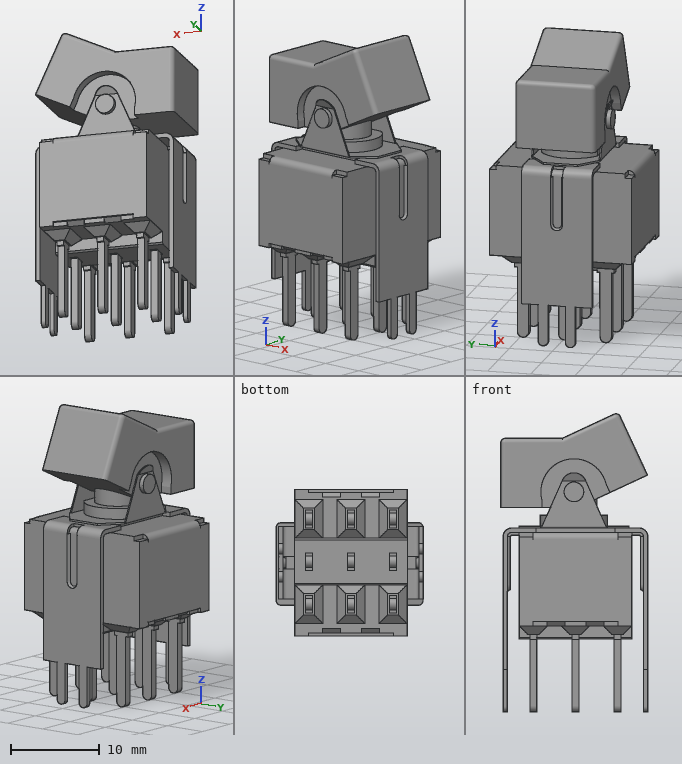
import cadquery as cq
import math

total_height = 33.57
lever_x = -0.17
rocker_y = 0.15

body_length = 12.7
body_width = 16.5
body_bottom = 9.67
body_top = 20.2
corner_strip = 1.58
top_round = 0.77
strip_drop = 0.5
lip_height = 0.5
lip_depth = 0.35
lip_slope_depth = 0.5
lip_gap_width = 2.0
lip_gap_x = 2.18

base_width = 5.3
base_height = 1.48
base_chamfer = 0.2
pin_pitch_x = 4.75
pin_pitch_y = 4.8
pin_row_y = -0.15
pin_thickness = 0.8
pin_width = 1.3
seat_length = 3.15
seat_width = 4.35
seat_height = 0.97
shoulder_width = 1.98
shoulder_drop = 1.5

bracket_length = 16.3
bracket_width = 8.2
sheet = 0.5
bracket_top = body_top + sheet
bend_radius = 0.97
leg_bottom = 4.77
tab_width = 1.15
tab_y = 1.58
notch_length = 8.93
notch_depth = 1.07
groove_width = 1.38
groove_floor_width = 0.97
groove_depth = 0.35
groove_bottom = 13.55
groove_top_x = 6.88

plate_length = 12.42
plate_thickness = 0.2
plate_top = bracket_top + plate_thickness
ear_span = 8.0
ear_sheet = 0.17
ear_bend = 0.17
plate_corner_x = 2.52
plate_corner_y = 2.0
ear_base = 7.2
ear_neck = 2.7
ear_neck_z = 25.98
ear_tip_rise = 0.95
ear_tip_flare = 0.47

collar_diameter = 7.62
collar_width = 6.5
collar_top = 22.15
stem_diameter = 5.2
pivot_z = 24.77
pivot_diameter = 2.2
pivot_length = 9.05

rocker_width = 9.3
rocker_bend = 25.0
rocker_round = 0.55
arm_left = -8.43
arm_top = 30.82
arm_bottom = 23.0
crook_x = -1.48
pocket_radius = 3.73
pocket_skirt = 3.6
pocket_core = 6.85


def block(length, width, bottom, top, x=0, y=0):
    """Upright box centred on (x, y) between two heights."""
    box = cq.Workplane("XY").box(length, width, top - bottom, centered=(True, True, False))
    return box.translate((x, y, bottom))


def extrude_y(profile, width):
    """Extrude an XZ profile symmetrically about Y = 0."""
    return profile.extrude(width / 2, both=True)


def rounded_blade(x, y, thickness, width, top):
    """Flat pin standing on Z = 0 with a half-round tip."""
    radius = width / 2
    return (
        cq.Workplane("YZ")
        .moveTo(y - radius, top)
        .lineTo(y - radius, radius)
        .threePointArc((y, 0), (y + radius, radius))
        .lineTo(y + radius, top)
        .close()
        .extrude(thickness / 2, both=True)
        .translate((x, 0, 0))
    )


def make_body():
    body = block(body_length, body_width, body_bottom, body_top)
    body = body.edges("|X and >Z").fillet(top_round)

    strip_x = (body_length - corner_strip) / 2
    for side in (-1, 1):
        for end in (-1, 1):
            x = end * strip_x
            strip_y = side * (body_width - top_round) / 2
            strip_top = body_top - strip_drop
            body = body.cut(block(corner_strip, top_round, body_bottom, body_top, x, strip_y))
            body = body.union(block(corner_strip, top_round, body_bottom, strip_top, x, strip_y))

    panel_length = body_length - 2 * corner_strip
    lip_top = body_bottom + lip_height
    for side in (-1, 1):
        lip_y = side * (body_width - lip_depth) / 2
        body = body.cut(block(panel_length, lip_depth, body_bottom, lip_top, 0, lip_y))
        wall_y = side * (body_width / 2 - lip_depth)
        slope = (
            cq.Workplane("YZ")
            .polyline([
                (wall_y, body_bottom),
                (wall_y, lip_top),
                (wall_y - side * lip_slope_depth, body_bottom),
            ])
            .close()
            .extrude(lip_gap_width / 2, both=True)
        )
        for x in (-lip_gap_x, lip_gap_x):
            body = body.cut(slope.translate((x, 0, 0)))

    base = block(body_length, base_width, body_bottom - base_height, body_bottom, 0, pin_row_y)
    return body.union(base.edges("|X and <Z").chamfer(base_chamfer))


def make_terminal(x, y):
    seat_taper = 45
    seat = (
        cq.Workplane("XY", origin=(x, y, body_bottom))
        .rect(seat_length, seat_width)
        .extrude(-seat_height, taper=seat_taper)
    )
    shoulder = block(pin_thickness, shoulder_width, body_bottom - shoulder_drop, body_bottom, x, y)
    return seat.union(shoulder).union(rounded_blade(x, y, pin_thickness, pin_width, body_bottom))


def bracket_arch(inset):
    """Solid arch bounded by the bracket's outer surface moved inwards."""
    arch = block(bracket_length - 2 * inset, bracket_width, leg_bottom, bracket_top - inset)
    return arch.edges("|Y and >Z").fillet(bend_radius - inset)


def pressed_slot(face_x, inset, start_x):
    """Slot pressed into the +X leg from face_x and carried over the bend as far as start_x."""
    taper = math.degrees(math.atan((groove_width - groove_floor_width) / 2 / groove_depth))
    bend_z = bracket_top - bend_radius
    length = bracket_top + groove_width - groove_bottom
    slot = (
        cq.Workplane("YZ", origin=(face_x, 0, groove_bottom + length / 2))
        .slot2D(length, groove_width, 90)
        .extrude(-groove_depth, taper=taper)
        .intersect(bracket_arch(inset))
    )
    end_length = face_x - start_x
    bend_zone = block(end_length, groove_width, bend_z, bracket_top, start_x + end_length / 2)
    bend = bracket_arch(inset).cut(bracket_arch(inset + groove_depth)).intersect(bend_zone)
    return slot.union(bend)


def make_bracket():
    bracket = bracket_arch(0).cut(bracket_arch(sheet))

    for side in (-1, 1):
        notch_y = side * (bracket_width - notch_depth) / 2
        bracket = bracket.cut(block(notch_length, notch_depth, body_top, bracket_top, 0, notch_y))

    leg_x = bracket_length / 2
    rib = pressed_slot(leg_x - sheet, sheet, body_length / 2)
    groove = pressed_slot(leg_x, 0, groove_top_x)
    for turn in (0, 180):
        axis = ((0, 0, 0), (0, 0, 1), turn)
        bracket = bracket.union(rib.rotate(*axis)).cut(groove.rotate(*axis))

    for side in (-1, 1):
        for y in (-tab_y, tab_y):
            x = side * (bracket_length - sheet) / 2
            bracket = bracket.union(rounded_blade(x, y, sheet, tab_width, leg_bottom))
    return bracket


def make_ear():
    """Ear on the -Y side: tapered sheet whose round tip flares outwards."""
    outer_y = -ear_span / 2
    half_base = ear_base / 2
    half_neck = ear_neck / 2
    tip_z = ear_neck_z + ear_tip_rise
    outline = (
        cq.Workplane("XZ")
        .moveTo(-half_base, plate_top)
        .lineTo(-half_neck, ear_neck_z)
        .threePointArc((0, tip_z), (half_neck, ear_neck_z))
        .lineTo(half_base, plate_top)
        .close()
    )
    ear = extrude_y(outline, 2 * ear_span)
    bent_sheet = (
        cq.Workplane("YZ")
        .polyline([
            (outer_y, plate_top),
            (outer_y, ear_neck_z),
            (outer_y - ear_tip_flare, tip_z),
            (outer_y - ear_tip_flare + ear_sheet, tip_z),
            (outer_y + ear_sheet, ear_neck_z),
            (outer_y + ear_sheet, plate_top),
        ])
        .close()
        .extrude(ear_base, both=True)
    )
    return ear.intersect(bent_sheet).translate((lever_x, 0, 0))


def make_ear_plate():
    half_length = plate_length / 2
    half_width = ear_span / 2
    flat_x = half_length - plate_corner_x
    side_y = half_width - plate_corner_y
    plate = (
        cq.Workplane("XY", origin=(lever_x, 0, bracket_top))
        .polyline([
            (-half_length, -side_y), (-flat_x, -half_width), (flat_x, -half_width), (half_length, -side_y),
            (half_length, side_y), (flat_x, half_width), (-flat_x, half_width), (-half_length, side_y),
        ])
        .close()
        .extrude(plate_thickness)
        .edges("|X and <Z")
        .fillet(ear_bend)
    )
    ear = make_ear()
    return plate.union(ear).union(ear.mirror("XZ"))


def make_bushing():
    collar = cq.Workplane("XY", origin=(lever_x, 0, bracket_top)).circle(collar_diameter / 2)
    collar = collar.extrude(collar_top - bracket_top)
    collar = collar.intersect(block(collar_diameter, collar_width, bracket_top, collar_top, lever_x))
    stem = cq.Workplane("XY", origin=(lever_x, 0, collar_top)).circle(stem_diameter / 2)
    stem = stem.extrude(pivot_z - collar_top)
    pivot = extrude_y(cq.Workplane("XZ").center(lever_x, pivot_z).circle(pivot_diameter / 2), pivot_length)
    return collar.union(stem).union(pivot)


def make_rocker():
    lean = math.radians(rocker_bend / 2)
    arm_height = arm_top - arm_bottom
    crook_low_x = crook_x + arm_height * math.tan(lean)
    swap_axis = ((crook_x, rocker_y, arm_top), (crook_low_x, rocker_y, arm_bottom), 180)

    arm_length = crook_low_x - arm_left
    arm = block(arm_length, rocker_width, arm_bottom, arm_top, arm_left + arm_length / 2, rocker_y)
    arm = arm.edges("(<X and |Z) or (>Z and |X) or (<X and >Z)").fillet(rocker_round)
    mitre = cq.Workplane("XZ").polyline([
        (crook_x, arm_top), (crook_low_x, arm_top), (crook_low_x, arm_bottom),
    ]).close()
    arm = arm.cut(extrude_y(mitre, 2 * rocker_width))
    rocker = arm.union(arm.rotate(*swap_axis))

    recess = extrude_y(cq.Workplane("XZ").center(lever_x, pivot_z).circle(pocket_radius), 2 * rocker_width)
    skirt_bottom = arm_bottom - pocket_radius
    skirt = block(pocket_skirt, 2 * rocker_width, skirt_bottom, pivot_z, lever_x - pocket_skirt / 2)
    recess = recess.union(skirt).union(skirt.rotate(*swap_axis))
    core = block(4 * pocket_radius, pocket_core, 0, total_height, lever_x)
    return rocker.cut(recess.cut(core))


result = make_body()
for column in (-1, 0, 1):
    for row in (-1, 0, 1):
        result = result.union(make_terminal(column * pin_pitch_x, pin_row_y + row * pin_pitch_y))
result = result.union(make_bracket())
result = result.union(make_ear_plate())
result = result.union(make_bushing())
result = result.union(make_rocker())